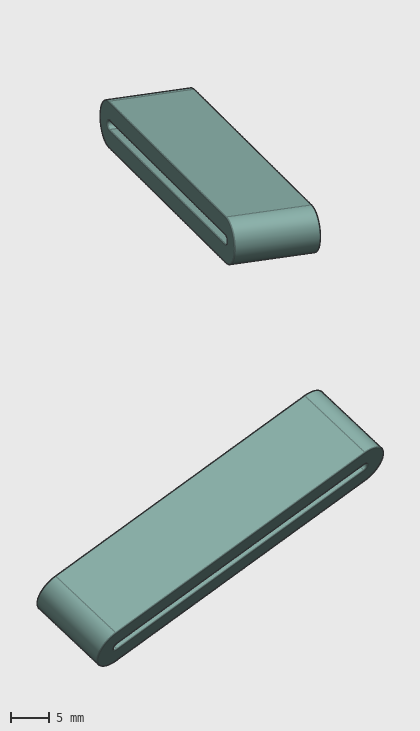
import cadquery as cq

length = 49.6
depth = 12.0
height = 6.5

slot_length = 44.0
slot_height = 1.3

edge_radius = 0.105


def rounded_bar(bar_length, bar_height):
    """Full-round bar centred on the origin, extruded along Y."""
    return cq.Workplane("XZ").slot2D(bar_length, bar_height).extrude(depth / 2, both=True)


body = rounded_bar(length, height)
slot = rounded_bar(slot_length, slot_height)

result = body.cut(slot).faces("<Y or >Y").edges().fillet(edge_radius)